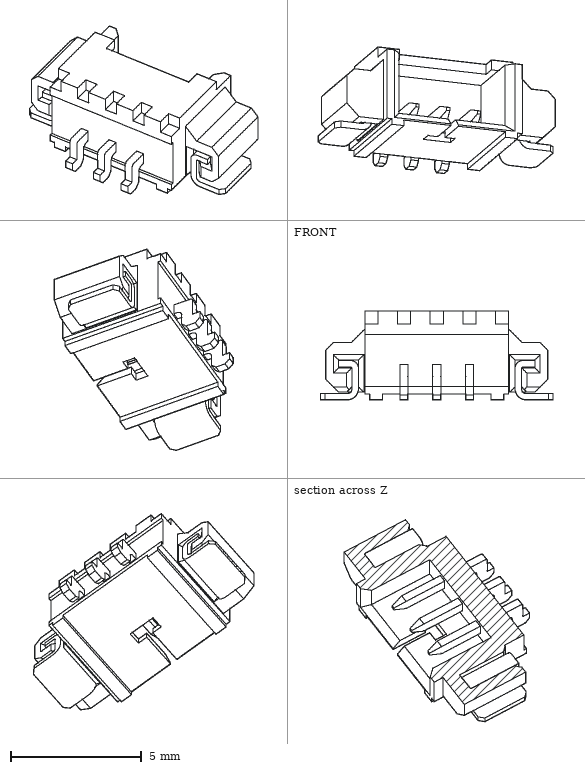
import cadquery as cq

total_width = 8.9
total_height = 3.4
housing_width = 5.5
housing_depth = 4.2
housing_bottom = 0.22
side_wall_top = 3.0
roof_end = 3.19
roof_cutout_start = 2.6
roof_cutout_width = 3.74
half_housing = housing_width / 2

relief_depth = 0.12
relief_bottom = 0.52
relief_top = 2.5
foot_inset = 0.19
foot_width = 0.5
notch_width = 0.5
notch_depth = 0.59
notch_height = 0.51

cavity_start = 1.25
cavity_width = 4.31
cavity_floor = 0.58
lead_in_depth = 0.31
lead_in_rise = 0.29
slot_width = 0.3
window_width = 1.1
window_length = 0.5
window_end = 2.73

pin_count = 3
pin_pitch = 1.255
pin_width = 0.31
pin_bottom = 0.89
pin_top = 1.36
leg_outer = -0.69
leg_inner = -0.21
pin_toe = -1.0
toe_height = 0.52
toe_chamfer = 0.2
pin_outer_radius = 0.125
pin_inner_radius = 0.2
taper_start = 3.0
tip_end = 3.49
tip_size = 0.125

ear_start = 1.0
ear_end = 3.8
ear_bottom = 0.29
ear_top = 2.2
ear_side = 4.245
ear_chamfer = 0.3
ear_lower_slope = 0.5
ear_slope_start = 3.26
pocket_bevel = 0.205
pocket_side = 3.75
pocket_top = 1.52
pocket_ledge = 1.23
pocket_inner = 2.99
pocket_hook = 3.24

clip_thickness = 0.25
clip_end = 3.19
clip_top = 1.5
lower_bend = 0.18
upper_bend = 0.05
clip_corner = 0.19


def box(x0, x1, y0, y1, z0, z1):
    return cq.Workplane("XY").box(x1 - x0, y1 - y0, z1 - z0, centered=False).translate((x0, y0, z0))


def centred_box(width, y0, y1, z0, z1, x=0.0):
    return box(x - width / 2, x + width / 2, y0, y1, z0, z1)


def extrude_y(outline, y0, y1):
    """Extrude a closed XZ outline from y0 to y1."""
    return outline.extrude(y0 - y1).translate((0, y0, 0))


def both_sides(shape):
    return shape.union(shape.mirror("YZ"))


pin_positions = [(i - (pin_count - 1) / 2) * pin_pitch for i in range(pin_count)]


def make_housing():
    body = centred_box(housing_width, 0, housing_depth, housing_bottom, total_height)
    body = body.cut(centred_box(housing_width, roof_end, housing_depth, side_wall_top, total_height))
    body = body.cut(centred_box(roof_cutout_width, roof_cutout_start, roof_end, side_wall_top, total_height))
    body = body.cut(centred_box(housing_width, 0, relief_depth, relief_bottom, relief_top))
    foot_start = half_housing - foot_inset - foot_width
    foot = box(foot_start, foot_start + foot_width, 0, housing_depth, 0, housing_bottom)
    return body.union(both_sides(foot))


def cut_notches(body):
    notch_floor = total_height - notch_height
    for x in pin_positions:
        body = body.cut(centred_box(notch_width, 0, notch_depth, notch_floor, total_height, x))
    corner = box(half_housing - notch_width, half_housing, 0, notch_depth, notch_floor, total_height)
    return body.cut(both_sides(corner))


def cut_cavity(body):
    body = body.cut(centred_box(cavity_width, cavity_start, housing_depth, cavity_floor, side_wall_top))
    flare_start = housing_depth - lead_in_depth
    lead_in = (
        cq.Workplane("XZ", origin=(0, flare_start, 0))
        .center(0, (cavity_floor + side_wall_top) / 2)
        .rect(cavity_width, side_wall_top - cavity_floor)
        .workplane(offset=-lead_in_depth)
        .center(0, -lead_in_rise / 2)
        .rect(cavity_width + 2 * lead_in_rise, side_wall_top - cavity_floor + lead_in_rise)
        .loft(ruled=True)
    )
    body = body.cut(lead_in)
    body = body.cut(centred_box(slot_width, window_end, housing_depth, housing_bottom, cavity_floor))
    window_start = window_end - window_length
    return body.cut(centred_box(window_width, window_start, window_end, housing_bottom, cavity_floor))


def make_pin(x):
    profile = (
        cq.Workplane("YZ")
        .moveTo(taper_start, pin_top)
        .lineTo(leg_outer + pin_outer_radius, pin_top)
        .radiusArc((leg_outer, pin_top - pin_outer_radius), -pin_outer_radius)
        .lineTo(leg_outer, toe_height)
        .lineTo(pin_toe, toe_height)
        .lineTo(pin_toe, toe_chamfer)
        .lineTo(pin_toe + toe_chamfer, 0)
        .lineTo(leg_inner - toe_chamfer, 0)
        .lineTo(leg_inner, toe_chamfer)
        .lineTo(leg_inner, pin_bottom - pin_inner_radius)
        .radiusArc((leg_inner + pin_inner_radius, pin_bottom), pin_inner_radius)
        .lineTo(taper_start, pin_bottom)
        .close()
        .extrude(pin_width / 2, both=True)
    )
    tip = (
        cq.Workplane("XZ", origin=(0, taper_start, (pin_bottom + pin_top) / 2))
        .rect(pin_width, pin_top - pin_bottom)
        .workplane(offset=taper_start - tip_end)
        .rect(tip_size, tip_size)
        .loft(ruled=True)
    )
    return profile.union(tip).translate((x, 0, 0))


def pocket_outline(y, bevel):
    """L-shaped pocket outline at depth y, open at the ear bottom and grown outwards by bevel."""
    return cq.Workplane("XZ", origin=(0, y, 0)).polyline([
        (pocket_side + bevel, pocket_top + bevel),
        (pocket_inner - bevel, pocket_top + bevel),
        (pocket_inner - bevel, ear_bottom),
        (pocket_hook + bevel, ear_bottom),
        (pocket_hook + bevel, pocket_ledge - bevel),
        (pocket_side + bevel, pocket_ledge - bevel),
    ]).close()


def make_ear():
    block = extrude_y(
        cq.Workplane("XZ").polyline([
            (half_housing, ear_bottom),
            (ear_side - ear_lower_slope, ear_bottom),
            (ear_side, ear_bottom + ear_lower_slope),
            (ear_side, ear_top - ear_chamfer),
            (ear_side - ear_chamfer, ear_top),
            (ear_slope_start, ear_top),
            (half_housing, ear_top + ear_slope_start - half_housing),
        ]).close(),
        ear_start, ear_end,
    )
    bevel_end = ear_start + pocket_bevel
    bevel_top = ear_bottom + pocket_bevel
    hook_bevel = (
        cq.Workplane("YZ", origin=(pocket_hook, 0, 0))
        .polyline([(ear_start, ear_bottom), (bevel_end, ear_bottom), (ear_start, bevel_top)])
        .close()
        .extrude(ear_side - pocket_hook)
    )
    flare = extrude_y(
        cq.Workplane("XZ").polyline([
            (pocket_inner - pocket_bevel, ear_bottom),
            (pocket_hook + pocket_bevel, ear_bottom),
            (pocket_hook, bevel_top),
            (pocket_inner, bevel_top),
        ]).close(),
        ear_start, clip_end,
    )
    mouth_wires = [pocket_outline(ear_start, pocket_bevel), pocket_outline(bevel_end, 0)]
    mouth = cq.Workplane(cq.Solid.makeLoft([w.val() for w in mouth_wires], True))
    pocket = pocket_outline(bevel_end, 0).extrude(bevel_end - clip_end)
    return block.cut(hook_bevel).cut(flare).cut(mouth).cut(pocket)


def make_clip():
    """Bent strip: flat solder foot, upright wall and short top arm held in the ear pocket."""
    outside = pocket_inner
    inside = outside + clip_thickness
    lower_outer = lower_bend + clip_thickness
    upper_outer = upper_bend + clip_thickness
    foot_tip = total_width / 2
    strip = extrude_y(
        cq.Workplane("XZ")
        .moveTo(foot_tip, 0)
        .lineTo(outside + lower_outer, 0)
        .radiusArc((outside, lower_outer), lower_outer)
        .lineTo(outside, clip_top - upper_outer)
        .radiusArc((outside + upper_outer, clip_top), upper_outer)
        .lineTo(pocket_side, clip_top)
        .lineTo(pocket_side, clip_top - clip_thickness)
        .lineTo(inside + upper_bend, clip_top - clip_thickness)
        .radiusArc((inside, clip_top - clip_thickness - upper_bend), -upper_bend)
        .lineTo(inside, lower_outer)
        .radiusArc((inside + lower_bend, clip_thickness), -lower_bend)
        .lineTo(foot_tip, clip_thickness)
        .close(),
        ear_start, clip_end,
    )
    return strip.edges("|Z and >X").chamfer(clip_corner)


result = cut_cavity(cut_notches(make_housing()))
for x in pin_positions:
    result = result.union(make_pin(x))
result = result.union(both_sides(make_ear()))
result = result.union(both_sides(make_clip()))